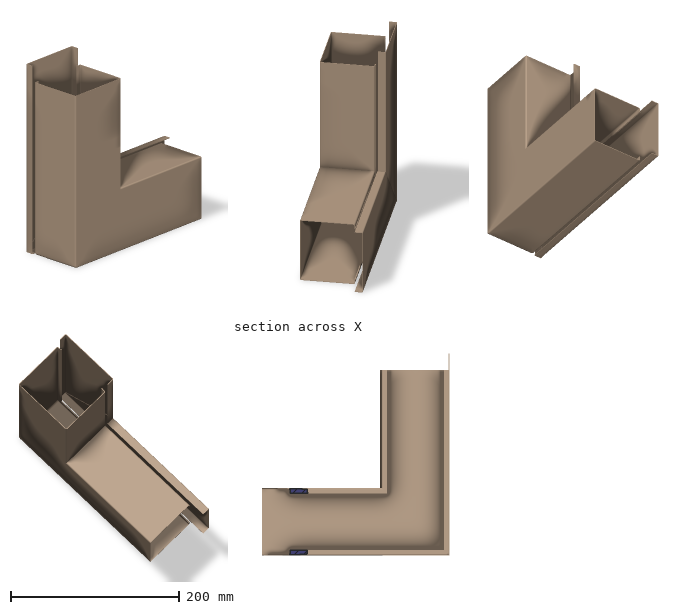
import cadquery as cq


arm_length = 240.0
width = 80.0
total_depth = 79.3
tilt_angle = 2.0

sheet = 0.7
cover_fold = 1.5
base_fold = 1.7

flange_depth = 9.8

base_setback = 20.0
base_length = arm_length - base_setback
base_front = 12.3
lip_face = base_front + sheet
lip_width = 6.2
corner_radius = 3.0

overrun = 12.0


def corner_prism(x_start, x_end, inset=0.0):
    """L-shaped prism with its sides moved in by the inset and arms longer than needed."""
    near = inset
    far = width - inset
    end = arm_length + overrun
    outline = [(near, near), (end, near), (end, far), (far, far), (far, end), (near, end)]
    return (
        cq.Workplane("YZ", origin=(x_start, 0, 0))
        .polyline(outline)
        .close()
        .extrude(x_end - x_start)
    )


def trim_arms(body, length):
    """Cut both arms off square at the given length."""
    limits = cq.Workplane("XY").box(total_depth, length, length, centered=False)
    return body.intersect(limits)


def make_cover():
    """Shallow L-shaped tray: a front face with a flange folded back along each side."""
    outside = corner_prism(0, flange_depth).faces("<X").edges().fillet(cover_fold)
    inside = corner_prism(sheet, flange_depth + overrun, sheet)
    inside = inside.faces("<X").edges().fillet(cover_fold - sheet)
    return trim_arms(outside.cut(inside), arm_length)


def mitre_wedge():
    """Space above the 45 degree plane through the inner and outer corners."""
    size = arm_length + overrun
    return (
        cq.Workplane("YZ")
        .polyline([(0, 0), (size, size), (0, size)])
        .close()
        .extrude(total_depth)
    )


def rounded_prism(x_start, x_end, inset, outer_corner_radius, fold_radius):
    """L-shaped prism with a rounded outer corner and rounded front and back edges."""
    prism = corner_prism(x_start, x_end, inset)
    outer_corner = cq.selectors.NearestToPointSelector((x_start, inset, inset))
    prism = prism.edges("|X").edges(outer_corner).fillet(outer_corner_radius)
    prism = prism.faces("<X").edges().fillet(fold_radius)
    return prism.faces(">X").edges().fillet(fold_radius)


def make_base():
    """Deep L-shaped channel with lips along its mouth, each ending in a forward hook."""
    outside = rounded_prism(lip_face, total_depth, 0, corner_radius, base_fold)
    cavity = rounded_prism(
        lip_face + sheet, total_depth - sheet, sheet, corner_radius - sheet, base_fold - sheet
    )
    hooks = corner_prism(base_front, lip_face + sheet, lip_width - sheet)
    mouth = corner_prism(base_front - sheet, lip_face + 2 * sheet, lip_width)
    base = outside.cut(cavity).union(hooks).cut(mouth)
    return trim_arms(base, base_length)


def turn(body):
    """Turn a body about Z into its final position."""
    return body.rotate((0, 0, 0), (0, 0, 1), tilt_angle)


whole_cover = make_cover()
horizontal_cover = turn(whole_cover.cut(mitre_wedge()))
vertical_cover = turn(whole_cover.intersect(mitre_wedge()).translate((-sheet, 0, 0)))

base = turn(make_base())

result = cq.Compound.makeCompound(
    [horizontal_cover.solids().val(), vertical_cover.solids().val(), base.solids().val()]
)